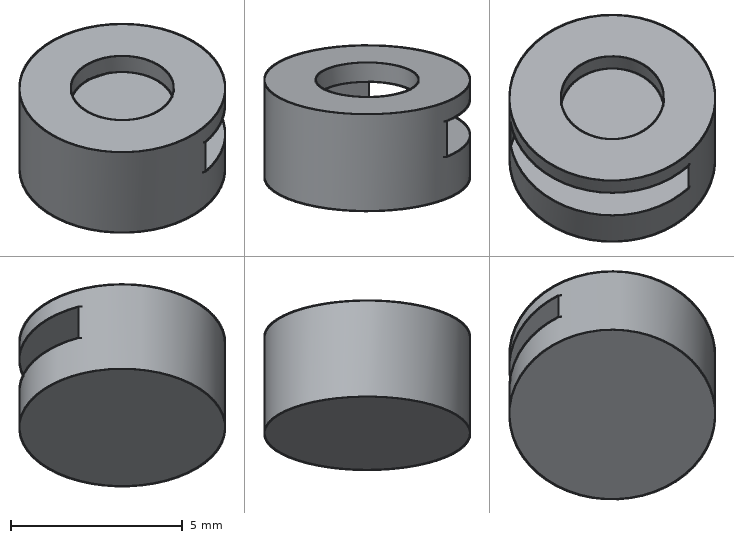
import cadquery as cq

body_diameter = 6.0
body_height = 3.0
opening_diameter = body_diameter / 2
lip_thickness = 0.6
pocket_height = 1.105
pocket_width = 5.4
slide_angle = 45.0

pocket_top = body_height - lip_thickness
pocket_floor = pocket_top - pocket_height


def make_body():
    """Plain round housing standing on Z = 0."""
    return cq.Workplane("XY").circle(body_diameter / 2).extrude(body_height)


def make_top_opening():
    """Round opening through the lip, down to the pocket floor."""
    return (
        cq.Workplane("XY")
        .workplane(offset=pocket_floor)
        .circle(opening_diameter / 2)
        .extrude(body_height - pocket_floor)
    )


def make_pocket():
    """Disc-shaped pocket extended straight out through the side wall."""
    base = cq.Workplane("XY").workplane(offset=pocket_floor)
    round_end = base.circle(pocket_width / 2).extrude(pocket_height)
    entry = base.rect(body_diameter, pocket_width).extrude(pocket_height)
    entry = entry.translate((body_diameter / 2, 0, 0))
    return round_end.union(entry).rotate((0, 0, 0), (0, 0, 1), slide_angle)


result = make_body().cut(make_top_opening()).cut(make_pocket())